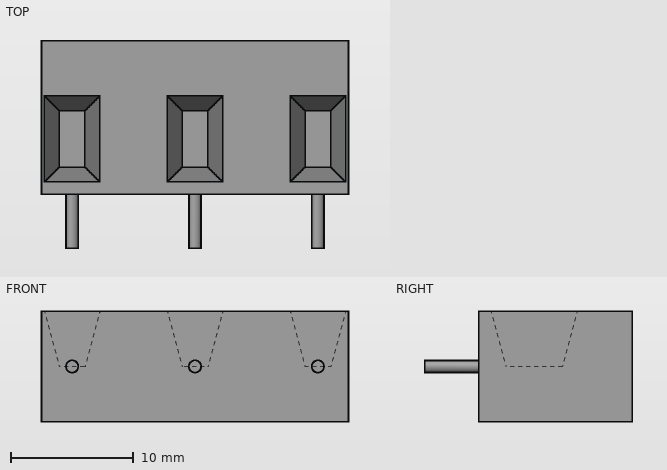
import cadquery as cq
import math

HOUSING_LENGTH = 25.0
HOUSING_DEPTH = 12.5
HOUSING_HEIGHT = 9.0

POLE_COUNT = 3
POLE_PITCH = 10.0

PIN_DIAMETER = 1.0
PIN_LENGTH = 4.4

POCKET_WIDTH = 4.5
POCKET_LENGTH = 7.0
POCKET_FRONT_WALL = 1.0
POCKET_WALL_ANGLE = 15.0
POCKET_DEPTH = HOUSING_HEIGHT / 2


def pole_positions():
    """X positions of the poles, spread evenly about the middle of the housing."""
    first = -POLE_PITCH * (POLE_COUNT - 1) / 2
    return [first + POLE_PITCH * index for index in range(POLE_COUNT)]


def make_housing():
    """Plain rectangular block."""
    return cq.Workplane("XY").box(
        HOUSING_LENGTH, HOUSING_DEPTH, HOUSING_HEIGHT, centered=(True, False, True)
    )


def make_pin(x):
    """Round pin from the pin face, at mid-height."""
    return cq.Workplane("XZ").center(x, 0).circle(PIN_DIAMETER / 2).extrude(PIN_LENGTH)


def make_pocket(x):
    """Recess narrowing from its mouth in the top face to a smaller flat floor."""
    wall_inset = POCKET_DEPTH * math.tan(math.radians(POCKET_WALL_ANGLE))
    floor_width = POCKET_WIDTH - 2 * wall_inset
    floor_length = POCKET_LENGTH - 2 * wall_inset
    centre_y = POCKET_FRONT_WALL + POCKET_LENGTH / 2
    return (
        cq.Workplane("XY")
        .workplane(offset=HOUSING_HEIGHT / 2)
        .center(x, centre_y)
        .rect(POCKET_WIDTH, POCKET_LENGTH)
        .workplane(offset=-POCKET_DEPTH)
        .rect(floor_width, floor_length)
        .loft(ruled=True)
    )


result = make_housing()
for pole_x in pole_positions():
    result = result.cut(make_pocket(pole_x))
    result = result.union(make_pin(pole_x))